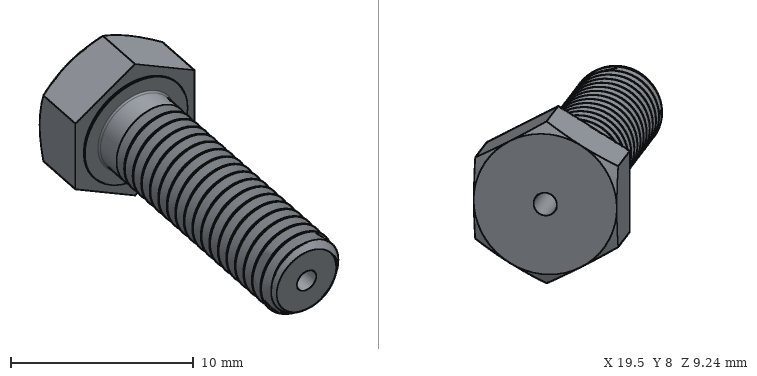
import cadquery as cq
import math

head_sides = 6
across_flats = 8.0
head_height = 3.5
chamfer_angle = 30.0
washer_diameter = 6.9
washer_thickness = 0.12

major_diameter = 5.0
pitch = 0.8
shank_length = 16.0
neck_fillet = 0.1
root_flat = pitch / 6
crest_flat = pitch / 8
thread_half_angle = 30.0
groove_start = 1.43
groove_start_angle = 18.0
cutter_overhang = 0.05

bore_diameter = 1.3

head_end = -head_height
across_corners = across_flats / math.cos(math.pi / head_sides)
major_radius = major_diameter / 2
flank_slope = math.tan(math.radians(thread_half_angle))
thread_depth = (pitch - crest_flat - root_flat) / 2 / flank_slope
root_radius = major_radius - thread_depth
cutter_radius = major_radius + cutter_overhang


def make_head():
    """Hexagon with its corners trimmed by a cone, plus the washer face."""
    hexagon = (
        cq.Workplane("YZ", origin=(head_end, 0, 0))
        .transformed(rotate=(0, 0, 90))
        .polygon(head_sides, across_corners)
        .extrude(head_height - washer_thickness)
    )
    flat_radius = across_flats / 2
    chamfer_slope = math.tan(math.radians(chamfer_angle))
    chamfer_cone = (
        cq.Workplane("XY")
        .polyline([
            (head_end, 0),
            (head_end, flat_radius),
            (0, flat_radius + head_height / chamfer_slope),
            (0, 0),
        ])
        .close()
        .revolve(360, (0, 0, 0), (1, 0, 0))
    )
    washer = (
        cq.Workplane("YZ", origin=(-washer_thickness, 0, 0))
        .circle(washer_diameter / 2)
        .extrude(washer_thickness)
    )
    return hexagon.intersect(chamfer_cone).union(washer)


def make_shank():
    """Plain shank with a fillet under the head and a 45 degree point down to the thread root."""
    return (
        cq.Workplane("XY")
        .lineTo(0, major_radius + neck_fillet)
        .radiusArc((neck_fillet, major_radius), -neck_fillet)
        .lineTo(shank_length - thread_depth, major_radius)
        .lineTo(shank_length, root_radius)
        .lineTo(shank_length, 0)
        .close()
        .revolve(360, (0, 0, 0), (1, 0, 0))
    )


def groove_profile():
    """Axial section of the thread groove: a V with a flat root, at +X on an axis along Z."""
    half_root = root_flat / 2
    half_mouth = half_root + (cutter_radius - root_radius) * flank_slope
    return cq.Workplane("XZ").polyline([
        (root_radius, -half_root),
        (cutter_radius, -half_mouth),
        (cutter_radius, half_mouth),
        (root_radius, half_root),
    ]).close()


def place_on_shank(cutter):
    """Turn a cutter built along Z onto the X axis, at the place where the full-depth groove starts."""
    return (
        cutter
        .rotate((0, 0, 0), (0, 1, 0), 90)
        .rotate((0, 0, 0), (1, 0, 0), groove_start_angle)
        .translate((groove_start, 0, 0))
    )


def make_spiral_groove():
    """Right-handed helical groove that runs out through the free end of the shank."""
    groove_length = shank_length - groove_start + pitch
    helix = cq.Wire.makeHelix(pitch, groove_length, root_radius)
    return place_on_shank(groove_profile().sweep(cq.Workplane(helix), isFrenet=True))


def make_groove_runout():
    """Straight lead-in along the helix tangent, rising from full depth to the shank surface."""
    runout_length = math.sqrt(cutter_radius**2 - root_radius**2)
    runout_drop = runout_length * pitch / (2 * math.pi * root_radius)
    section = cq.Face.makeFromWires(groove_profile().wire().val())
    runout = cq.Solid.extrudeLinear(section, cq.Vector(0, -runout_length, -runout_drop))
    return place_on_shank(cq.Workplane(runout))


def make_bore():
    """Round hole through the whole length of the bolt."""
    return (
        cq.Workplane("YZ", origin=(head_end, 0, 0))
        .circle(bore_diameter / 2)
        .extrude(head_height + shank_length)
    )


threaded_shank = make_shank().cut(make_spiral_groove()).cut(make_groove_runout())
result = threaded_shank.union(make_head()).cut(make_bore())